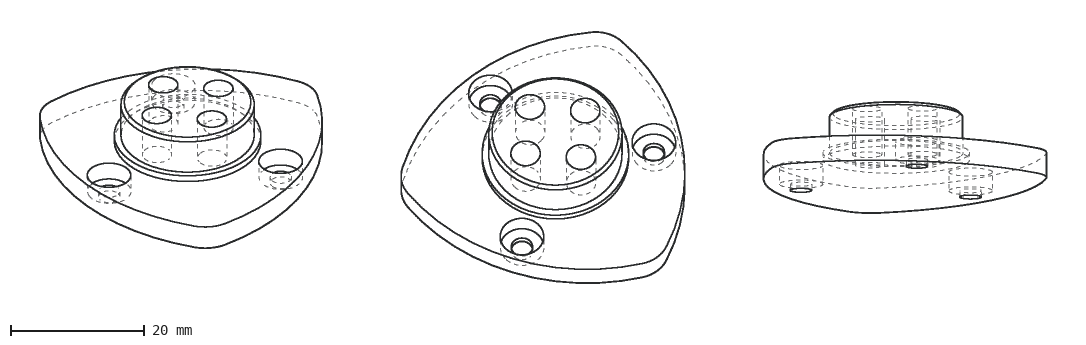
import cadquery as cq
import math

plate_thickness = 3.85
side_radius = 33.35
side_distance = 19.15
corner_radius = 5.32

collar_diameter = 22.0
collar_height = 1.02
boss_diameter = 20.0
total_height = 10.8
boss_chamfer = 0.5

socket_count = 4
socket_diameter = 4.4
socket_circle_radius = 5.9
socket_depth = total_height - plate_thickness

side_count = 3
mount_circle_radius = 15.0
mount_hole_diameter = 3.2
counterbore_diameter = 6.5
counterbore_depth = 2.85


def polar(radius, degrees):
    angle = math.radians(degrees)
    return (radius * math.cos(angle), radius * math.sin(angle))


def make_plate():
    side_offset = side_radius - side_distance
    centre_gap = side_radius - corner_radius
    corner_offset = math.sqrt(centre_gap**2 - 0.75 * side_offset**2) - side_offset / 2
    tip_distance = corner_offset + corner_radius

    along = corner_offset + side_offset / 2
    across = side_offset * math.sin(math.radians(60))
    tangent_along = corner_offset + corner_radius * along / centre_gap
    tangent_across = corner_radius * across / centre_gap
    tangent_distance = math.hypot(tangent_along, tangent_across)
    half_angle = math.degrees(math.atan2(tangent_across, tangent_along))

    outline = cq.Workplane("XY").moveTo(*polar(tangent_distance, 90 - half_angle))
    for index in range(side_count):
        corner = 90 + index * 360 / side_count
        next_corner = corner + 360 / side_count
        side_middle = (corner + next_corner) / 2
        outline = outline.threePointArc(
            polar(tip_distance, corner), polar(tangent_distance, corner + half_angle)
        )
        outline = outline.threePointArc(
            polar(side_distance, side_middle), polar(tangent_distance, next_corner - half_angle)
        )
    return outline.close().extrude(plate_thickness)


def make_boss():
    collar = cq.Workplane("XY").circle(collar_diameter / 2).extrude(plate_thickness + collar_height)
    boss = cq.Workplane("XY").circle(boss_diameter / 2).extrude(total_height)
    return collar.union(boss.faces(">Z").chamfer(boss_chamfer))


def cut_sockets(body):
    return (
        body.faces(">Z").workplane(origin=(0, 0, total_height))
        .polarArray(socket_circle_radius, 0, 360, socket_count)
        .hole(socket_diameter, socket_depth)
    )


def cut_mounting_holes(body):
    return (
        body.copyWorkplane(cq.Workplane("XY", origin=(0, 0, plate_thickness)))
        .polarArray(mount_circle_radius, -90, 360, side_count)
        .cboreHole(mount_hole_diameter, counterbore_diameter, counterbore_depth)
    )


result = cut_mounting_holes(cut_sockets(make_plate().union(make_boss())))